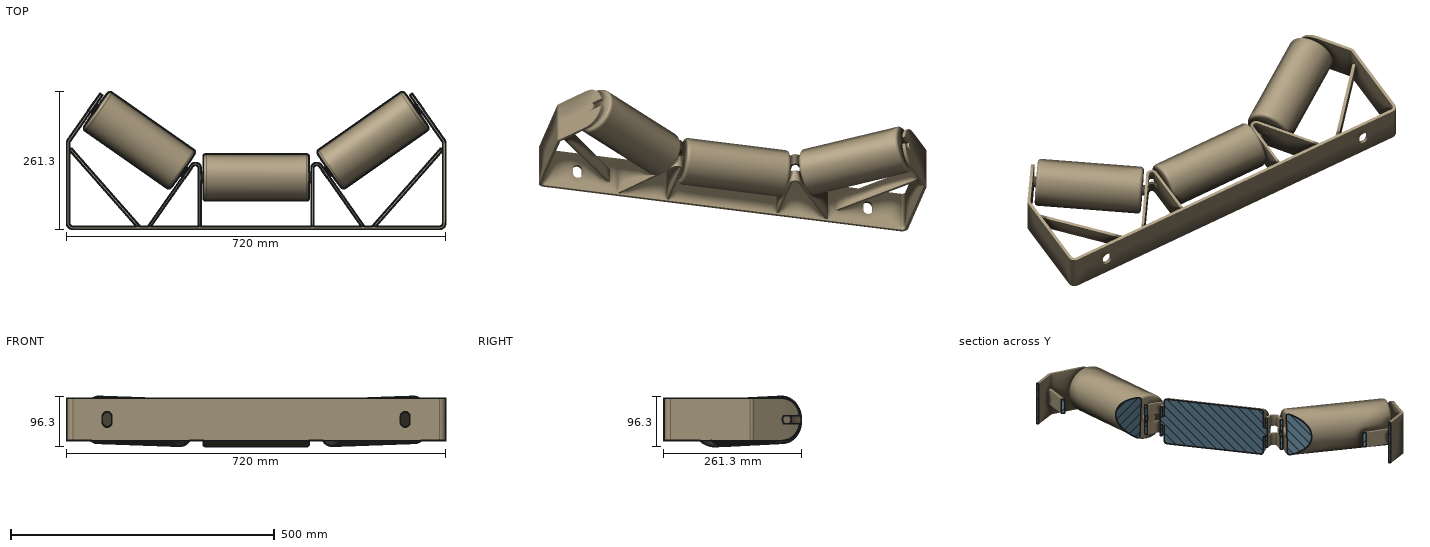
import cadquery as cq
import math

FRAME_LENGTH = 720.0
STRIP_HEIGHT = 81.0
PLATE = 6.0
BEND_RADIUS = 12.0
FOLD_Y = 167.0
ARM_LENGTH = 111.5
ARM_CORNER_RADIUS = 39.5
TILT = 35.0

MOUNT_SLOT_X = 283.0
MOUNT_SLOT_LENGTH = 28.0
MOUNT_SLOT_WIDTH = 18.0

BRACKET_PLATE = 5.0
BRACKET_BEND_RADIUS = 11.0
BRACKET_BEND_Y = 116.0
BRACKET_TOP = 21.5
BRACKET_BOTTOM = -37.5

BRACE_WALL_Y = 150.5
BRACE_FOOT_X = 224.0
BRACE_FOOT_Y = 1.5
BRACE_WALL_OVERLAP = 1.0
BRACE_TOP = 14.5
BRACE_BOTTOM = -14.5

ROLLER_RADIUS = 45.0
ROLLER_LENGTH = 201.5
ROLLER_EDGE_RADIUS = 6.0
AXLE_RADIUS = 10.0
AXLE_FLAT_WIDTH = 15.0
SHOULDER_LENGTH = 3.5
SIDE_AXLE_TIP = 8.0
AXLE_SLOT_LENGTH = 57.5
MIDDLE_ROLLER_Y = 99.0
MIDDLE_ROLLER_Z = -7.0
SIDE_ROLLER_X = 222.0
SIDE_ROLLER_Y = 169.0
SIDE_ROLLER_Z = -3.5
SIDE_ROLLER_DROP = 1.7

HALF_LENGTH = FRAME_LENGTH / 2
LEAN_SIN = math.sin(math.radians(TILT))
LEAN_COS = math.cos(math.radians(TILT))
SHOULDER_END = ROLLER_LENGTH / 2 + SHOULDER_LENGTH
ARM_TIP_X = HALF_LENGTH - ARM_LENGTH * LEAN_SIN
ARM_TIP_Y = FOLD_Y + ARM_LENGTH * LEAN_COS
BRACKET_X = SHOULDER_END
MIDDLE_AXLE_TIP = BRACKET_PLATE


def mirrored_pair(right_half):
    return [right_half, right_half.mirror("YZ")]


def offset_corner(before, corner, after, distance):
    """Corner of the line that runs a distance to the left of before-corner-after."""
    angle_in = math.atan2(corner[1] - before[1], corner[0] - before[0])
    angle_out = math.atan2(after[1] - corner[1], after[0] - corner[0])
    middle = angle_in + math.remainder(angle_out - angle_in, 2 * math.pi) / 2 + math.pi / 2
    reach = distance / math.cos(middle - math.pi / 2 - angle_in)
    return (corner[0] + reach * math.cos(middle), corner[1] + reach * math.sin(middle))


def continued(start, end):
    """The point as far beyond end as start lies before it."""
    return (2 * end[0] - start[0], 2 * end[1] - start[1])


def bent_strip(path, thickness, bend_radius, bottom, top):
    """Strip standing on edge, with its outer face on the path and its thickness to the left of it."""
    extended = [continued(path[1], path[0]), *path, continued(path[-2], path[-1])]
    inner = [offset_corner(*extended[i:i + 3], thickness) for i in range(len(path))]
    strip = cq.Workplane("XY", origin=(0, 0, bottom))
    strip = strip.polyline(path + inner[::-1]).close().extrude(top - bottom)
    middle_z = (bottom + top) / 2
    for corners, radius in ((path, bend_radius), (inner, bend_radius - thickness)):
        for x, y in corners[1:-1]:
            edge = cq.selectors.NearestToPointSelector((x, y, middle_z))
            strip = strip.edges("|Z").edges(edge).fillet(radius)
    return strip


def roller_places():
    """Middle roller, then the side rollers; local X is the axle and local Y points out of the axle slots."""
    places = [cq.Location(cq.Vector(0, MIDDLE_ROLLER_Y, MIDDLE_ROLLER_Z))]
    for side in (-1, 1):
        spot = cq.Location(cq.Vector(side * SIDE_ROLLER_X, SIDE_ROLLER_Y, SIDE_ROLLER_Z))
        rise = cq.Location(cq.Vector(), cq.Vector(0, 0, 1), side * TILT)
        drop = cq.Location(cq.Vector(), cq.Vector(0, 1, 0), -side * SIDE_ROLLER_DROP)
        places.append(spot * rise * drop)
    return places


def make_roller(tip_length):
    """Rounded drum on an axle with round shoulders and flatted tips, centred on the origin."""
    axle_end = SHOULDER_END + tip_length
    drum = cq.Workplane("YZ", origin=(-ROLLER_LENGTH / 2, 0, 0)).circle(ROLLER_RADIUS)
    drum = drum.extrude(ROLLER_LENGTH).edges("%CIRCLE").fillet(ROLLER_EDGE_RADIUS)
    shoulders = cq.Workplane("YZ").circle(AXLE_RADIUS).extrude(SHOULDER_END, both=True)
    tips = cq.Workplane("YZ").circle(AXLE_RADIUS).extrude(axle_end, both=True)
    tips = tips.intersect(cq.Workplane("XY").box(2 * axle_end, 2 * AXLE_RADIUS, AXLE_FLAT_WIDTH))
    return drum.union(shoulders).union(tips)


def make_slot_cutter():
    """Two slots open towards local Y, round at the bottom like the axle tip that rests in them."""
    depth = 2 * PLATE
    seat = cq.Workplane("YZ", origin=(SHOULDER_END, 0, 0)).circle(AXLE_RADIUS).extrude(depth)
    seat = seat.intersect(cq.Workplane("XY").box(2 * FRAME_LENGTH, 2 * AXLE_RADIUS, AXLE_FLAT_WIDTH))
    opening = cq.Workplane("XY").box(
        depth, AXLE_SLOT_LENGTH, AXLE_FLAT_WIDTH, centered=(False, False, True))
    slot = seat.union(opening.translate((SHOULDER_END, 0, 0)))
    return slot.union(slot.mirror("YZ"))


def make_outer_strip():
    """Back plate, side walls and the two arms that carry the outer axle tips."""
    right = [(HALF_LENGTH, 0), (HALF_LENGTH, FOLD_Y), (ARM_TIP_X, ARM_TIP_Y)]
    left = [(-x, y) for x, y in reversed(right)]
    return bent_strip(left + right, PLATE, BEND_RADIUS, -STRIP_HEIGHT / 2, STRIP_HEIGHT / 2)


def make_arm_corner_cutter():
    """What lies outside the rounded corners of the right arm."""
    width = 4 * PLATE
    length = 2 * ARM_CORNER_RADIUS
    block = cq.Workplane("XY").box(width, length, STRIP_HEIGHT)
    tab = cq.Workplane("XY").box(width, 2 * length, STRIP_HEIGHT).translate((0, -length, 0))
    tab = tab.edges("|X and >Y").fillet(ARM_CORNER_RADIUS)
    return block.cut(tab).rotate((0, 0, 0), (0, 0, 1), TILT).translate((ARM_TIP_X, ARM_TIP_Y, 0))


def make_bracket():
    """Right bracket, its leaning leg square to the side roller and its feet set in the back plate."""
    apex_y = BRACKET_BEND_Y + BRACKET_BEND_RADIUS * (1 + LEAN_COS) / LEAN_SIN
    foot_x = BRACKET_X + (apex_y - PLATE) * LEAN_SIN / LEAN_COS
    path = [(foot_x, PLATE), (BRACKET_X, apex_y), (BRACKET_X, PLATE / 2)]
    return bent_strip(path, BRACKET_PLATE, BRACKET_BEND_RADIUS, BRACKET_BOTTOM, BRACKET_TOP)


def make_brace():
    """Right brace, its ends set in the back plate and against the side wall."""
    path = [(BRACE_FOOT_X, BRACE_FOOT_Y), (HALF_LENGTH - PLATE + BRACE_WALL_OVERLAP, BRACE_WALL_Y)]
    return bent_strip(path, PLATE, BEND_RADIUS, BRACE_BOTTOM, BRACE_TOP)


def make_mount_slots():
    slots = cq.Workplane("XZ").pushPoints([(-MOUNT_SLOT_X, 0), (MOUNT_SLOT_X, 0)])
    return slots.slot2D(MOUNT_SLOT_LENGTH, MOUNT_SLOT_WIDTH, 90).extrude(-PLATE)


def make_frame(places):
    frame = make_outer_strip().cut(make_mount_slots())
    for corners in mirrored_pair(make_arm_corner_cutter()):
        frame = frame.cut(corners)
    for part in mirrored_pair(make_bracket()) + mirrored_pair(make_brace()):
        frame = frame.union(part)
    slot_cutter = make_slot_cutter().val()
    for place in places:
        frame = frame.cut(cq.Workplane(slot_cutter.moved(place)))
    return frame


places = roller_places()
frame = make_frame(places)
tip_lengths = [MIDDLE_AXLE_TIP, SIDE_AXLE_TIP, SIDE_AXLE_TIP]
rollers = [make_roller(tip).val().moved(place) for tip, place in zip(tip_lengths, places)]
result = cq.Compound.makeCompound([frame.solids().val(), *rollers])